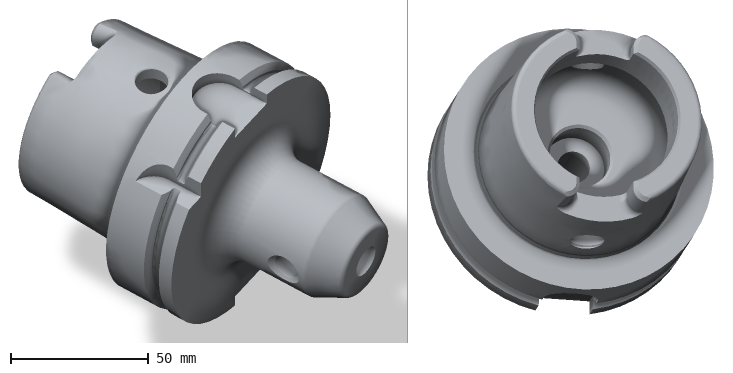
import cadquery as cq
import math


flange_radius = 50.0
flange_width = 29.0
groove_center = 20.1
groove_top_width = 6.6
groove_floor_width = 3.5
groove_floor_radius = 45.75
groove_wall_radius = 47.3
groove_floor_fillet = 0.8

shank_length = 50.0
taper_large_radius = 75.25 / 2
taper_slope = 1 / 20
taper_end_x = -2.5
shank_end_fillet = 1.8

relief_radius = 37.5
relief_start_x = -1.76
relief_end_x = -0.98
relief_depth = 0.6
relief_floor_radius = 38.1
relief_rim_radius = 39.0

nose_radius = 41.5 / 2
nose_end_x = 80.0
nose_root_fillet = 10.0
cone_start_x = 67.2
cone_angle = 25.0
nose_edge_fillet = 2.0

mouth_radius = 53.0 / 2
mouth_chamfer_rise = 0.7
mouth_chamfer_length = 1.5
lip_end_x = -30.0
clamp_angle = 60.0
cavity_radius = 63.0 / 2
cavity_floor_x = -2.8
floor_fillet = 6.7

seat_rim_radius = 24.5 / 2
seat_radius = 22.5 / 2
seat_depth = 12.0
bore_radius = 12.0 / 2

drive_slot_width = 20.0
drive_slot_depth_top = 10.0
drive_slot_depth_bottom = 15.0
drive_slot_rounding = 5.0
drive_slot_shoulder = 32.1
drive_slot_floor_fillet = 2.2
drive_slot_mouth_chamfer = 1.5
drive_slot_mouth_angle = 45.0

cross_hole_x = -15.0
cross_hole_radius = 12.0 / 2
cross_hole_rim_radius = 13.0 / 2
cross_hole_rim_drop = 0.25

keyway_radius = 10.0
keyway_center_x = 15.0
keyway_floor = 44.0
notch_offset = 31.4

screw_x = nose_end_x - 22.0
screw_radius = 10.11 / 2
screw_rim_radius = 6.95

clearance = 5.0

pick_margin = 1.0


def taper_radius(x):
    return taper_large_radius + (x - taper_end_x) * taper_slope


def revolve_about_x(sketch):
    return sketch.close().revolve(360, (0, 0, 0), (1, 0, 0))


def turned_body():
    cone_drop = (nose_end_x - cone_start_x) * math.tan(math.radians(cone_angle))
    root_end_x = flange_width + nose_root_fillet
    root_radius = nose_radius + nose_root_fillet
    arc_offset = nose_root_fillet * (1 - math.sqrt(0.5))
    outline = (
        cq.Workplane("XY")
        .moveTo(-shank_length, 0)
        .lineTo(-shank_length, taper_radius(-shank_length))
        .lineTo(taper_end_x, taper_large_radius)
        .lineTo(relief_start_x, relief_radius)
        .lineTo(relief_end_x, relief_radius)
        .lineTo(relief_depth, relief_floor_radius)
        .lineTo(0, relief_rim_radius)
        .lineTo(0, flange_radius)
        .lineTo(flange_width, flange_radius)
        .lineTo(flange_width, root_radius)
        .threePointArc(
            (flange_width + arc_offset, nose_radius + arc_offset),
            (root_end_x, nose_radius),
        )
        .lineTo(cone_start_x, nose_radius)
        .lineTo(nose_end_x, nose_radius - cone_drop)
        .lineTo(nose_end_x, 0)
    )
    body = revolve_about_x(outline)
    nose_edges = cq.selectors.BoxSelector(
        (cone_start_x - pick_margin, -flange_radius, -flange_radius),
        (nose_end_x + pick_margin, flange_radius, flange_radius),
        boundingbox=True,
    )
    body = body.edges(nose_edges).fillet(nose_edge_fillet)
    return body.faces("<X").edges().fillet(shank_end_fillet)


def gripper_groove():
    """V-shaped groove that drops into a narrow channel with rounded corners."""
    floor_start = groove_center - groove_floor_width / 2
    floor_end = groove_center + groove_floor_width / 2
    top_start = groove_center - groove_top_width / 2
    top_end = groove_center + groove_top_width / 2
    profile = (
        cq.Workplane("XY")
        .moveTo(top_start, flange_radius)
        .lineTo(floor_start, groove_wall_radius)
        .lineTo(floor_start, groove_floor_radius)
        .lineTo(floor_end, groove_floor_radius)
        .lineTo(floor_end, groove_wall_radius)
        .lineTo(top_end, flange_radius)
        .lineTo(top_end, flange_radius + clearance)
        .lineTo(top_start, flange_radius + clearance)
    )
    ring = revolve_about_x(profile)
    floor_edges = cq.selectors.RadiusNthSelector(0)
    return ring.edges(floor_edges).fillet(groove_floor_fillet)


def cavity():
    clamp_length = (cavity_radius - mouth_radius) / math.tan(math.radians(clamp_angle))
    floor_edge_radius = cavity_radius - floor_fillet
    arc_offset = floor_fillet * math.sqrt(0.5)
    seat_chamfer = seat_rim_radius - seat_radius
    profile = (
        cq.Workplane("XY")
        .moveTo(-shank_length, 0)
        .lineTo(-shank_length, mouth_radius + mouth_chamfer_rise)
        .lineTo(-shank_length + mouth_chamfer_length, mouth_radius)
        .lineTo(lip_end_x, mouth_radius)
        .lineTo(lip_end_x + clamp_length, cavity_radius)
        .lineTo(cavity_floor_x - floor_fillet, cavity_radius)
        .threePointArc(
            (cavity_floor_x - floor_fillet + arc_offset, floor_edge_radius + arc_offset),
            (cavity_floor_x, floor_edge_radius),
        )
        .lineTo(cavity_floor_x, seat_rim_radius)
        .lineTo(cavity_floor_x + seat_chamfer, seat_radius)
        .lineTo(cavity_floor_x + seat_depth, seat_radius)
        .lineTo(cavity_floor_x + seat_depth, bore_radius)
        .lineTo(nose_end_x, bore_radius)
        .lineTo(nose_end_x, 0)
    )
    return revolve_about_x(profile)


def drive_slot_profile():
    """Slot section on the +Z side whose walls roll outwards into flat shoulders."""
    half_width = drive_slot_width / 2
    rounding_start = drive_slot_shoulder - drive_slot_rounding
    arc_side = drive_slot_rounding * (1 - math.sqrt(0.5))
    arc_rise = drive_slot_rounding * math.sqrt(0.5)
    rounding_end = half_width + drive_slot_rounding
    return (
        cq.Workplane("YZ", origin=(-shank_length, 0, 0))
        .moveTo(-half_width, 0)
        .lineTo(-half_width, rounding_start)
        .threePointArc(
            (-half_width - arc_side, rounding_start + arc_rise),
            (-rounding_end, drive_slot_shoulder),
        )
        .lineTo(-flange_radius, drive_slot_shoulder)
        .lineTo(-flange_radius, flange_radius)
        .lineTo(flange_radius, flange_radius)
        .lineTo(flange_radius, drive_slot_shoulder)
        .lineTo(rounding_end, drive_slot_shoulder)
        .threePointArc(
            (half_width + arc_side, rounding_start + arc_rise),
            (half_width, rounding_start),
        )
        .lineTo(half_width, 0)
        .close()
    )


def drive_slot(depth):
    slot = drive_slot_profile().extrude(depth)
    slot_end_x = -shank_length + depth
    inner_reach = flange_radius - pick_margin
    wall_edges = cq.selectors.BoxSelector(
        (slot_end_x - pick_margin, -inner_reach, pick_margin),
        (slot_end_x + pick_margin, inner_reach, inner_reach),
    )
    slot = slot.edges(wall_edges).fillet(drive_slot_floor_fillet)
    mouth = drive_slot_profile().offset2D(drive_slot_mouth_chamfer)
    return slot.union(mouth.extrude(drive_slot_mouth_chamfer, taper=drive_slot_mouth_angle))


def cut_drive_slots(body):
    body = body.cut(drive_slot(drive_slot_depth_top))
    lower_slot = drive_slot(drive_slot_depth_bottom).rotate((0, 0, 0), (1, 0, 0), 180)
    return body.cut(lower_slot)


def cross_hole():
    rim_depth = cross_hole_rim_radius - cross_hole_radius
    surface = taper_radius(cross_hole_x)
    rim_top = surface - cross_hole_rim_drop
    rim_bottom = rim_top - rim_depth
    rim = (
        cq.Workplane("XZ", origin=(cross_hole_x, 0, 0))
        .moveTo(0, -surface - clearance)
        .lineTo(cross_hole_rim_radius, -surface - clearance)
        .lineTo(cross_hole_rim_radius, -rim_top)
        .lineTo(cross_hole_radius, -rim_bottom)
        .lineTo(cross_hole_radius, rim_bottom)
        .lineTo(cross_hole_rim_radius, rim_top)
        .lineTo(cross_hole_rim_radius, surface + clearance)
        .lineTo(0, surface + clearance)
        .close()
    )
    return rim.revolve(360, (0, 0, 0), (0, 1, 0))


def end_mill_slot(center_y, floor_z):
    """Straight slot along X with a round blind end, cut down to floor_z from +Z."""
    height = flange_radius + clearance - floor_z
    run = flange_width - keyway_center_x
    round_end_plane = cq.Workplane("XY", origin=(keyway_center_x, center_y, floor_z))
    straight = round_end_plane.box(run, 2 * keyway_radius, height, centered=(False, True, False))
    round_end = round_end_plane.circle(keyway_radius).extrude(height)
    return straight.union(round_end)


def cut_keyways(body):
    keyway = end_mill_slot(0, keyway_floor)
    notch = end_mill_slot(-notch_offset - keyway_radius, notch_offset)
    body = body.cut(keyway).cut(keyway.rotate((0, 0, 0), (1, 0, 0), 180))
    return body.cut(notch)


def screw_hole():
    sink_depth = screw_rim_radius - screw_radius
    profile = (
        cq.Workplane("XY", origin=(screw_x, 0, 0))
        .moveTo(0, 0)
        .lineTo(screw_radius, 0)
        .lineTo(screw_radius, -nose_radius + sink_depth)
        .lineTo(screw_rim_radius, -nose_radius)
        .lineTo(screw_rim_radius, -nose_radius - clearance)
        .lineTo(0, -nose_radius - clearance)
        .close()
    )
    return profile.revolve(360, (0, 0, 0), (0, 1, 0))


body = turned_body().cut(gripper_groove())
body = cut_drive_slots(body)
body = body.cut(cavity()).cut(cross_hole()).cut(screw_hole())
result = cut_keyways(body)